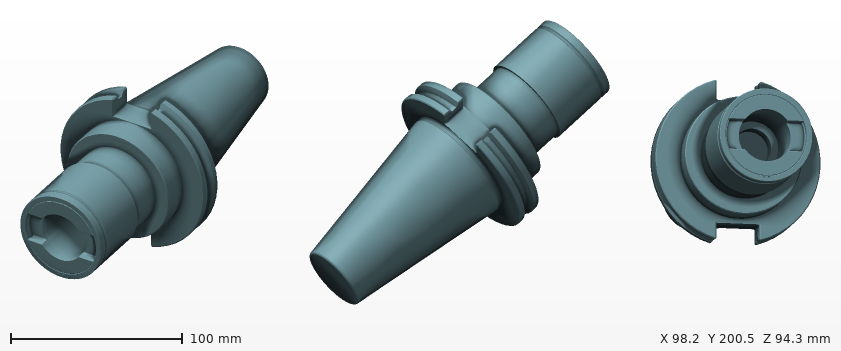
import cadquery as cq
import math


gauge_radius = 35.0
taper_length = 101.7
taper_ratio = 7 / 24
small_end_radius = gauge_radius - taper_length * taper_ratio / 2
small_end_fillet = 1.6

relief_depth = 0.6

flange_radius = 49.1
flange_back = -3.2
flange_front = -19.0
flange_chamfer = 0.6
gripper_middle = -11.0
gripper_mouth_width = 7.5
gripper_floor_width = 3.5
gripper_cone_angle = 60
gripper_side_width = (gripper_mouth_width - gripper_floor_width) / 2
gripper_depth = gripper_side_width * math.tan(math.radians(gripper_cone_angle))

collar_front = -35.0
collar_chamfer = 0.6
neck_radius = 25.9
sleeve_back = -58.0
sleeve_radius = 27.7
sleeve_chamfer = 0.5
nose_y = taper_length - 200.5
ring_groove_middle = -92.7
ring_groove_width = 2.5
ring_groove_depth = 0.8

notch_width = 25.7
upper_notch_floor = 35.3
lower_notch_floor = 37.7
notch_floor_fillet = 1.0
notch_side_chamfer = 0.6
notch_mouth_chamfer = 0.8

bore_radius = 15.5
bore_depth = 40.1
pilot_radius = 11.2
pilot_depth = 50.2
insert_radius = 24
joint_width = 0.6
slot_width = 17.7
slot_depth = 5.0
slot_floor_radius = 23.3
slot_step_depth = 2.5
slot_floor_fillet = 1.0
slot_mouth_chamfer = 0.5
spanner_hole_radius = 0.6
spanner_hole_depth = 1.0
spanner_hole_spacing = 3.0
spanner_hole_drop = 24.9


def cylinder(radius, y_start, length):
    """Cylinder on the Y axis, running from y_start toward +Y."""
    start = cq.Workplane("XZ", origin=(0, y_start, 0))
    return start.circle(radius).extrude(-length)


def turned_body():
    """Solid of revolution: shank, flange, collar, neck and sleeve."""
    mouth_half = gripper_mouth_width / 2
    floor_half = gripper_floor_width / 2
    gripper_floor_radius = flange_radius - gripper_depth
    groove_half = ring_groove_width / 2
    profile = (
        cq.Workplane("XY")
        .moveTo(0, taper_length)
        .lineTo(small_end_radius, taper_length)
        .lineTo(gauge_radius, 0)
        .lineTo(gauge_radius - relief_depth, -relief_depth)
        .lineTo(gauge_radius - relief_depth, flange_back + relief_depth)
        .lineTo(gauge_radius, flange_back)
        .lineTo(flange_radius - flange_chamfer, flange_back)
        .lineTo(flange_radius, flange_back - flange_chamfer)
        .lineTo(flange_radius, gripper_middle + mouth_half)
        .lineTo(gripper_floor_radius, gripper_middle + floor_half)
        .lineTo(gripper_floor_radius, gripper_middle - floor_half)
        .lineTo(flange_radius, gripper_middle - mouth_half)
        .lineTo(flange_radius, flange_front + flange_chamfer)
        .lineTo(flange_radius - flange_chamfer, flange_front)
        .lineTo(gauge_radius, flange_front)
        .lineTo(gauge_radius, collar_front + collar_chamfer)
        .lineTo(gauge_radius - collar_chamfer, collar_front)
        .lineTo(neck_radius, collar_front)
        .lineTo(neck_radius, sleeve_back)
        .lineTo(sleeve_radius, sleeve_back)
        .lineTo(sleeve_radius, ring_groove_middle + groove_half)
        .threePointArc(
            (sleeve_radius - ring_groove_depth, ring_groove_middle),
            (sleeve_radius, ring_groove_middle - groove_half),
        )
        .lineTo(sleeve_radius, nose_y + sleeve_chamfer)
        .lineTo(sleeve_radius - sleeve_chamfer, nose_y)
        .lineTo(0, nose_y)
        .close()
    )
    body = profile.revolve(360, (0, 0, 0), (0, 1, 0))
    return body.faces(">Y").edges().fillet(small_end_fillet)


def notch_cutter(floor_height):
    """Cutter for a notch open toward +Z, flared at the flange faces and at its mouth."""
    half = notch_width / 2
    flange_width = flange_back - flange_front
    flange_middle = (flange_back + flange_front) / 2
    base = cq.Workplane("XY", origin=(0, flange_middle, floor_height))
    height = flange_radius - floor_height
    channel = (
        base.rect(notch_width, flange_width)
        .extrude(height)
        .faces("<Z")
        .edges("|Y")
        .fillet(notch_floor_fillet)
    )

    flare_outer = half + notch_side_chamfer
    flare_inner = half - notch_floor_fillet
    for face_side in (-1, 1):
        face_y = face_side * flange_width / 2
        inner_y = face_y - face_side * (flare_outer - flare_inner)
        flare = (
            base.polyline([
                (-flare_outer, face_y),
                (-flare_inner, inner_y),
                (flare_inner, inner_y),
                (flare_outer, face_y),
            ])
            .close()
            .extrude(height)
        )
        channel = channel.union(flare)

    mouth_half = half + notch_mouth_chamfer
    mouth_top = math.sqrt(flange_radius**2 - mouth_half**2)
    mouth_bottom = mouth_top - notch_mouth_chamfer
    mouth = (
        cq.Workplane("XZ", origin=(0, flange_back, 0))
        .polyline([
            (-half, mouth_bottom),
            (-mouth_half, mouth_top),
            (-mouth_half, flange_radius),
            (mouth_half, flange_radius),
            (mouth_half, mouth_top),
            (half, mouth_bottom),
        ])
        .close()
        .extrude(flange_width)
    )
    return channel.union(mouth)


def cross_slot():
    """Slot across the nose, with stepped round ends and rounded floor edges."""
    channel = (
        cq.Workplane("XY")
        .box(2 * sleeve_radius, slot_depth, slot_width)
        .translate((0, nose_y + slot_depth / 2, 0))
        .faces(">Y")
        .edges("|X")
        .fillet(slot_floor_fillet)
    )
    half = slot_width / 2
    mouth = (
        cq.Workplane("YZ", origin=(-sleeve_radius, 0, 0))
        .polyline([
            (nose_y, -half - slot_mouth_chamfer),
            (nose_y + slot_mouth_chamfer, -half),
            (nose_y + slot_mouth_chamfer, half),
            (nose_y, half + slot_mouth_chamfer),
        ])
        .close()
        .extrude(2 * sleeve_radius)
    )
    lower_bound = cylinder(slot_floor_radius, nose_y, slot_depth)
    bound = lower_bound.union(cylinder(insert_radius, nose_y, slot_step_depth))
    return channel.union(mouth).intersect(bound)


def insert_joint():
    """Shallow V groove where the insert meets the sleeve on the nose face."""
    return (
        cq.Workplane("XY")
        .polyline([
            (insert_radius - joint_width / 2, nose_y),
            (insert_radius + joint_width / 2, nose_y),
            (insert_radius, nose_y + joint_width / 2),
        ])
        .close()
        .revolve(360, (0, 0, 0), (0, 1, 0))
    )


def spanner_holes():
    """Pair of small blind holes at the bottom of the nose face."""
    half_spacing = spanner_hole_spacing / 2
    return (
        cq.Workplane("XZ", origin=(0, nose_y, 0))
        .pushPoints([(-half_spacing, -spanner_hole_drop), (half_spacing, -spanner_hole_drop)])
        .circle(spanner_hole_radius)
        .extrude(-spanner_hole_depth)
    )


upper_notch = notch_cutter(upper_notch_floor)
lower_notch = notch_cutter(lower_notch_floor).rotate((0, 0, 0), (0, 1, 0), 180)

result = turned_body().cut(upper_notch).cut(lower_notch)
result = result.cut(cylinder(bore_radius, nose_y, bore_depth))
result = result.cut(cylinder(pilot_radius, nose_y, pilot_depth))
result = result.cut(cross_slot()).cut(insert_joint()).cut(spanner_holes())